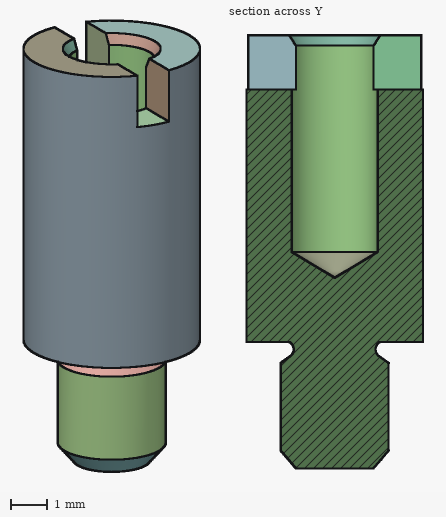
import cadquery as cq
import math

total_height = 12.0
body_radius = 2.45

stud_length = 3.5
stud_radius = 1.5
tip_radius = 1.07
tip_chamfer_height = 0.5

undercut_start = 2.93
undercut_cone_height = 0.2
cone_top_radius = 1.21
neck_radius = 1.14
undercut_top_radius = 1.26

hole_radius = 1.19
hole_depth = 6.0
drill_point_angle = 118.0
mouth_radius = 1.35
mouth_depth = 0.29

slot_width = 1.0
slot_depth = 1.5


def make_body():
    """Revolve the stepped outer profile with its undercut."""
    cone_top = undercut_start + undercut_cone_height
    neck_height = (cone_top + stud_length) / 2
    profile = (
        cq.Workplane("XZ")
        .lineTo(tip_radius, 0)
        .lineTo(stud_radius, tip_chamfer_height)
        .lineTo(stud_radius, undercut_start)
        .lineTo(cone_top_radius, cone_top)
        .threePointArc((neck_radius, neck_height), (undercut_top_radius, stud_length))
        .lineTo(body_radius, stud_length)
        .lineTo(body_radius, total_height)
        .lineTo(0, total_height)
        .close()
    )
    return profile.revolve(360, (0, 0, 0), (0, 1, 0))


def make_hole():
    """Revolve the cutter for the hole, its mouth and its drill point."""
    hole_bottom = total_height - hole_depth
    point_height = hole_radius / math.tan(math.radians(drill_point_angle / 2))
    profile = (
        cq.Workplane("XZ")
        .moveTo(0, hole_bottom - point_height)
        .lineTo(hole_radius, hole_bottom)
        .lineTo(hole_radius, total_height - mouth_depth)
        .lineTo(mouth_radius, total_height)
        .lineTo(0, total_height)
        .close()
    )
    return profile.revolve(360, (0, 0, 0), (0, 1, 0))


def make_slot():
    """Cutter for the slot, running right across the top."""
    return (
        cq.Workplane("XY", origin=(0, 0, total_height - slot_depth))
        .rect(2 * body_radius, slot_width)
        .extrude(slot_depth)
    )


result = make_body().cut(make_hole()).cut(make_slot())